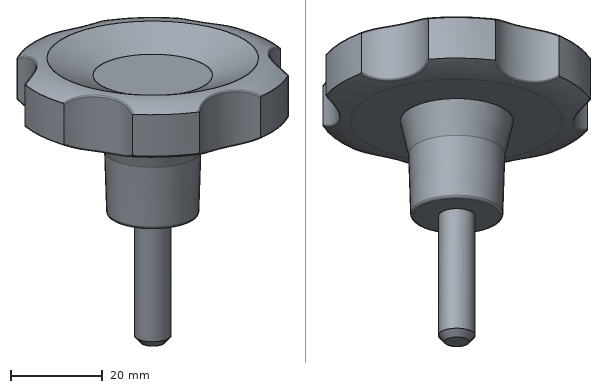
import cadquery as cq
import math

total_height = 66
head_thickness = 13.6
head_bottom = total_height - head_thickness
hub_waist_height = 44.5
hub_bottom = 29.9
dish_depth = 3.95

head_radius = 60.0 / 2
dish_rim_radius = 23.05
dish_floor_radius = 13.0
shoulder_radius = 13.2

flute_count = 6
flute_radius = 11.9
flute_floor_distance = 25.55
flute_edge_fillet = 0.3

hub_top_radius = 12.35
hub_waist_radius = 10.5
hub_bottom_radius = 10.0
hub_edge_fillet = 0.6

pin_radius = 8.0 / 2
pin_tip_radius = 2.65
pin_tip_height = 1.5

shoulder_width = head_radius - dish_rim_radius
shoulder_drop = shoulder_radius - math.sqrt(shoulder_radius**2 - shoulder_width**2)


def make_head():
    """Revolve the head with its shallow conical dish."""
    half_angle = math.asin(shoulder_width / shoulder_radius) / 2
    arc_middle_radius = dish_rim_radius + shoulder_radius * math.sin(half_angle)
    arc_middle_drop = shoulder_radius * (1 - math.cos(half_angle))
    return (
        cq.Workplane("XZ")
        .moveTo(0, head_bottom)
        .lineTo(dish_rim_radius, head_bottom)
        .threePointArc(
            (arc_middle_radius, head_bottom + arc_middle_drop),
            (head_radius, head_bottom + shoulder_drop),
        )
        .lineTo(head_radius, total_height - shoulder_drop)
        .threePointArc(
            (arc_middle_radius, total_height - arc_middle_drop),
            (dish_rim_radius, total_height),
        )
        .lineTo(dish_floor_radius, total_height - dish_depth)
        .lineTo(0, total_height - dish_depth)
        .close()
        .revolve(360, (0, 0, 0), (0, 1, 0))
    )


def cut_flutes(head):
    """Scallop the rim with equally spaced flutes and soften their curved edges."""
    flute_centre_distance = flute_floor_distance + flute_radius
    flutes = (
        cq.Workplane("XY")
        .workplane(offset=head_bottom)
        .polarArray(flute_centre_distance, 0, 360, flute_count)
        .circle(flute_radius)
        .extrude(head_thickness)
    )
    fluted = head.cut(flutes)
    return fluted.edges("not(%LINE or %CIRCLE)").fillet(flute_edge_fillet)


def make_hub():
    """Revolve the double taper under the head."""
    return (
        cq.Workplane("XZ")
        .moveTo(0, head_bottom)
        .lineTo(hub_top_radius, head_bottom)
        .lineTo(hub_waist_radius, hub_waist_height)
        .lineTo(hub_bottom_radius, hub_bottom)
        .lineTo(0, hub_bottom)
        .close()
        .revolve(360, (0, 0, 0), (0, 1, 0))
        .faces("<Z")
        .edges()
        .fillet(hub_edge_fillet)
    )


def make_pin():
    """Revolve the pin with its tapered tip."""
    return (
        cq.Workplane("XZ")
        .lineTo(pin_tip_radius, 0)
        .lineTo(pin_radius, pin_tip_height)
        .lineTo(pin_radius, hub_bottom)
        .lineTo(0, hub_bottom)
        .close()
        .revolve(360, (0, 0, 0), (0, 1, 0))
    )


result = cut_flutes(make_head()).union(make_hub()).union(make_pin())